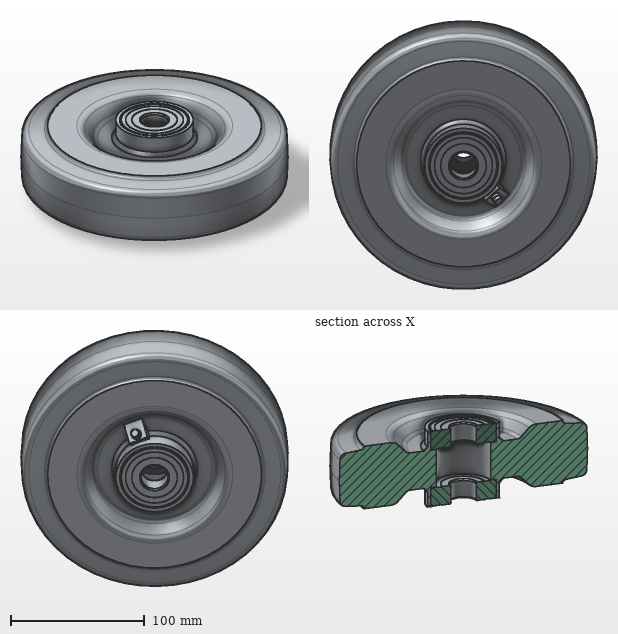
import cadquery as cq
import math

tread_radius = 100.0
tread_edge_radius = 99.4
tread_edge_height = 16.5
shoulder_inner_radius = 94.4
shoulder_inner_height = 21.3
shoulder_rounding = 5.0
rim_radius = 80.0
rim_height = 25.0
rim_fillet = 2.5
rim_foot_height = 22.4

web_height = 15.0
dish_top_radius = 55.0
dish_floor_radius = dish_top_radius - (rim_height - web_height)
dish_top_fillet = 8.0
dish_floor_fillet = 5.0

hub_radius = 29.0
hub_height = 30.0
hub_root_chamfer = 3.0

bearing_bore_radius = 10.0
bearing_outer_radius = 26.0
bearing_width = 15.0
bearing_chamfer = 1.1
shield_inner_radius = 17.0
shield_outer_radius = 21.7
shield_recess = 0.2
hub_bore_radius = shield_outer_radius

pad_width = 14.5
pad_edge_x = -32.0
pad_edge_z = -25.9
pad_embed = 4.0
nipple_offset = 4.6
nipple_collar_radius = 3.5
nipple_collar_length = 2.4
nipple_head_radius = 3.0
nipple_head_length = 3.0

DIAGONAL = math.sqrt(0.5)


def ring(inner_radius, outer_radius, bottom, height):
    """A plain ring around the Z axis."""
    disc = cq.Workplane("XY").workplane(offset=bottom).circle(outer_radius)
    return disc.circle(inner_radius).extrude(height)


def make_wheel_half():
    """The upper half of the wheel, turned around Z: tyre, rim, web and hub in one piece."""
    reach = math.tan(math.pi / 8)
    top_reach = dish_top_fillet * reach
    floor_reach = dish_floor_fillet * reach
    section = (
        cq.Workplane("XZ")
        .moveTo(hub_bore_radius, 0)
        .lineTo(tread_radius, 0)
        .lineTo(tread_edge_radius, tread_edge_height)
        .radiusArc((shoulder_inner_radius, shoulder_inner_height), -shoulder_rounding)
        .lineTo(rim_radius + rim_fillet, rim_foot_height)
        .radiusArc((rim_radius, rim_height), rim_fillet)
        .lineTo(dish_top_radius + top_reach, rim_height)
        .radiusArc(
            (dish_top_radius - top_reach * DIAGONAL, rim_height - top_reach * DIAGONAL),
            -dish_top_fillet,
        )
        .lineTo(dish_floor_radius + floor_reach * DIAGONAL, web_height + floor_reach * DIAGONAL)
        .radiusArc((dish_floor_radius - floor_reach, web_height), dish_floor_fillet)
        .lineTo(hub_radius + hub_root_chamfer, web_height)
        .lineTo(hub_radius, web_height + hub_root_chamfer)
        .lineTo(hub_radius, hub_height)
        .lineTo(bearing_outer_radius, hub_height)
        .lineTo(bearing_outer_radius, hub_height - bearing_width)
        .lineTo(hub_bore_radius, hub_height - bearing_width)
        .close()
    )
    return section.revolve(360, (0, 0, 0), (0, 1, 0))


def make_nipple_pad():
    """The sloped pad that fills the corner between hub and web."""
    hub_side_x = pad_edge_x + pad_embed
    web_side_z = pad_embed - web_height
    outline = [
        (pad_edge_x, pad_edge_z),
        (hub_side_x, pad_edge_z + pad_embed),
        (hub_side_x, web_side_z),
        (pad_edge_x + pad_edge_z - web_side_z, web_side_z),
    ]
    return cq.Workplane("XZ").polyline(outline).close().extrude(pad_width / 2, both=True)


def make_nipple():
    """The grease nipple: a collar with a narrower head, square to the pad's sloped face."""
    foot = (
        pad_edge_x - nipple_offset * DIAGONAL,
        0,
        pad_edge_z + nipple_offset * DIAGONAL,
    )
    face = cq.Workplane(cq.Plane(origin=foot, xDir=(0, 1, 0), normal=(-1, 0, -1)))
    collar = face.circle(nipple_collar_radius).extrude(nipple_collar_length)
    head = face.circle(nipple_head_radius).extrude(nipple_collar_length + nipple_head_length)
    return collar.union(head)


def make_wheel():
    upper_half = make_wheel_half()
    lower_half = upper_half.mirror("XY")
    return upper_half.union(lower_half).union(make_nipple_pad()).union(make_nipple())


def make_bearing(bottom):
    """A ball bearing whose shields sit slightly below both of its ring faces."""
    body = ring(bearing_bore_radius, bearing_outer_radius, bottom, bearing_width)
    body = body.faces("<Z or >Z").edges().chamfer(bearing_chamfer)
    top_recess = bottom + bearing_width - shield_recess
    for recess_bottom in (bottom, top_recess):
        body = body.cut(ring(shield_inner_radius, shield_outer_radius, recess_bottom, shield_recess))
    return body


wheel = make_wheel()
bearings = [make_bearing(bottom) for bottom in (-hub_height, hub_height - bearing_width)]

result = cq.Compound.makeCompound([wheel.val(), *[bearing.val() for bearing in bearings]])